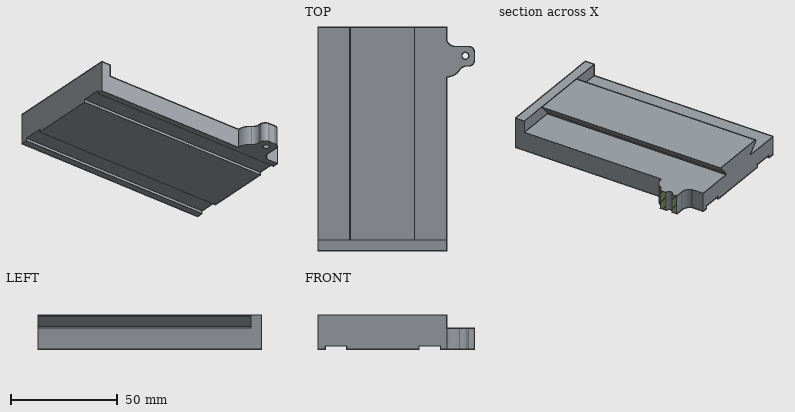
import cadquery as cq

body_width = 60.5
body_length = 105.0
total_height = 16.2
ledge_height = 10.0
end_wall_thickness = 5.0

tongue_left = 14.7
tongue_right = 45.4
tongue_top = 16.1
neck_height = 0.7
tip_chamfer = 0.6
undercut_height = tongue_top - ledge_height - neck_height - tip_chamfer
neck_inset = 4.6

groove_width = 10.0
groove_depth = 1.5
groove_margin = 3.5
groove_spacing = 44.0

overall_width = 73.5
ear_reach = overall_width - body_width
ear_top = 96.0
ear_outer_bottom = 86.7
ear_root_bottom = 81.6
ear_corner_radius = 2.8
ear_neck_radius = 4.4
ear_root_rise = 2.8
lower_bulge = (3.5, 82.5)
lower_inflection = (5.9, 84.7)
lower_hollow = (7.4, 86.2)
lower_end_reach = 9.5
hole_diameter = 3.2
hole_inset = 4.3
hole_y = 91.6


def make_base():
    floor = cq.Workplane("XY").box(body_width, body_length, ledge_height, centered=False)
    wall = cq.Workplane("XY").box(body_width, end_wall_thickness, total_height, centered=False)
    return floor.union(wall)


def make_tongue():
    """Dovetail profile in XZ, extruded from the end wall to the open end."""
    neck_left = tongue_left + neck_inset
    neck_right = tongue_right - neck_inset
    neck_top = ledge_height + neck_height
    tip_height = neck_top + undercut_height
    return (
        cq.Workplane("XZ", origin=(0, body_length, 0))
        .moveTo(neck_left, ledge_height)
        .lineTo(neck_left, neck_top)
        .lineTo(tongue_left, tip_height)
        .lineTo(tongue_left + tip_chamfer, tongue_top)
        .lineTo(tongue_right, tongue_top)
        .lineTo(neck_right, neck_top)
        .lineTo(neck_right, ledge_height)
        .close()
        .extrude(body_length - end_wall_thickness)
    )


def make_groove(left):
    groove = cq.Workplane("XY").box(groove_width, body_length, groove_depth, centered=False)
    return groove.translate((left, 0, 0))


def make_ear():
    """Lug with a concave upper root, rounded outer corners and an S-shaped lower edge."""
    corner_x = ear_reach - ear_corner_radius
    lower_corner_y = ear_outer_bottom + ear_corner_radius
    return (
        cq.Workplane("XY", origin=(body_width, 0, 0))
        .moveTo(0, ear_root_bottom)
        .threePointArc(lower_bulge, lower_inflection)
        .threePointArc(lower_hollow, (lower_end_reach, ear_outer_bottom))
        .lineTo(corner_x, ear_outer_bottom)
        .radiusArc((ear_reach, lower_corner_y), -ear_corner_radius)
        .lineTo(ear_reach, ear_top - ear_corner_radius)
        .radiusArc((corner_x, ear_top), -ear_corner_radius)
        .lineTo(ear_neck_radius, ear_top)
        .radiusArc((0, ear_top + ear_root_rise), ear_neck_radius)
        .close()
        .extrude(ledge_height)
    )


def make_ear_hole():
    return (
        cq.Workplane("XY")
        .center(body_width + ear_reach - hole_inset, hole_y)
        .circle(hole_diameter / 2)
        .extrude(ledge_height)
    )


result = make_base().union(make_tongue()).union(make_ear()).cut(make_ear_hole())
for groove_left in (groove_margin, groove_margin + groove_spacing):
    result = result.cut(make_groove(groove_left))